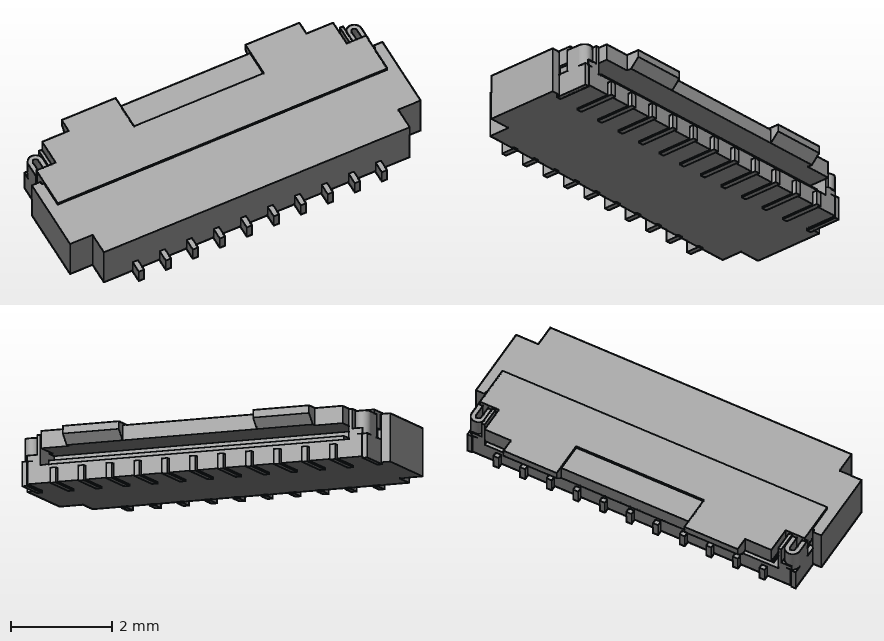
import cadquery as cq

length = 7.8
total_depth = 3.55
total_height = 1.05

standoff = 0.03
housing_top = 1.01
housing_front = 0.445
ear_front = 1.15
ear_rear = 2.79
housing_rear = 3.28
rear_half = 3.4
front_half = 3.59
ledge_top = 0.49
wall_inner = 3.315
wall_outer = 3.385
pad_top = 0.61
post_front = 1.0
opening_floor = 0.4
step_front = 0.53
step_half = 3.17
back_step_front = 0.89

flap_bottom = 0.7
flap_rear = 1.81
flap_half = 3.665
bevel = 0.195
front_tab_half = 2.645
shoulder_front = 0.305
shoulder_half = 3.24
notch_rear = 0.89
finger_half = 1.44
finger_rear = 0.795

sheet = 0.1
nail_outer = 3.705
nail_inner = nail_outer - sheet
fold_front = 0.46
nail_bend_radius = (nail_outer - wall_outer) / 2
nail_top = 0.96
nail_rear = 1.21
leg_rear = 0.935

contact_pitch = 0.6
contact_width = 0.12
contact_height = 0.305
front_contacts = 11
rear_contacts = 10
front_contact_start = 0.34
front_contact_end = 1.255
rear_contact_start = 3.24


def block(x0, x1, y0, y1, z0, z1):
    """Box between the given limits on each axis."""
    return cq.Workplane("XY").box(x1 - x0, y1 - y0, z1 - z0, centered=False).translate((x0, y0, z0))


def centred_block(x0, x1, half, z0, z1):
    """Box reaching the same distance to both sides of Y = 0."""
    return block(x0, x1, -half, half, z0, z1)


def mirrored_pair(shape):
    """The shape together with its mirror image across Y = 0."""
    return shape.union(shape.mirror("XZ"))


def make_hold_down():
    """Upright plate whose top is folded inward into a U, at the +Y end."""
    plate = block(housing_front, nail_rear, nail_inner, nail_outer, 0, ledge_top)

    bend_x = fold_front + nail_bend_radius
    inner_radius = nail_bend_radius - sheet
    middle = nail_outer - nail_bend_radius
    fold = (
        cq.Workplane("XY", origin=(0, 0, ledge_top))
        .moveTo(leg_rear, nail_outer)
        .lineTo(bend_x, nail_outer)
        .threePointArc((fold_front, middle), (bend_x, wall_outer))
        .lineTo(leg_rear, wall_outer)
        .lineTo(leg_rear, wall_outer + sheet)
        .lineTo(bend_x, wall_outer + sheet)
        .threePointArc((bend_x - inner_radius, middle), (bend_x, nail_inner))
        .lineTo(leg_rear, nail_inner)
        .close()
        .extrude(nail_top - ledge_top)
    )
    return plate.union(fold)


def make_shell():
    """Main block, front base, end walls with pads and posts, and the stepped opening floor."""
    ears = centred_block(ear_front, ear_rear, length / 2, standoff, housing_top)
    rear = centred_block(ear_front, housing_rear, rear_half, standoff, housing_top)
    base = centred_block(housing_front, ear_front, front_half, standoff, opening_floor)
    ledge = block(housing_front, ear_front, wall_inner, front_half, opening_floor, ledge_top)
    wall = block(housing_front, ear_front, wall_inner, wall_outer, ledge_top, housing_top)
    pad = block(housing_front, post_front, wall_outer, nail_inner, ledge_top, pad_top)
    post = block(post_front, ear_front, wall_outer, nail_inner, ledge_top, flap_bottom)
    step = centred_block(step_front, ear_front, step_half, opening_floor, ledge_top)
    back_step = centred_block(back_step_front, ear_front, wall_inner, opening_floor, ledge_top)
    slot = block(ear_front, nail_rear, nail_inner, nail_outer, standoff, housing_top)

    shell = ears.union(rear).cut(mirrored_pair(slot))
    ends = mirrored_pair(ledge.union(wall).union(pad).union(post))
    return shell.union(base).union(ends).union(step.union(back_step))


def make_flap():
    """Closed flap lying on the block, with a stepped front edge."""
    profile = [
        (0, total_height),
        (flap_rear, total_height),
        (flap_rear, flap_bottom),
        (bevel, flap_bottom),
        (0, flap_bottom + bevel),
    ]
    flap = cq.Workplane("XZ").polyline(profile).close().extrude(flap_half, both=True)
    shoulder = block(0, shoulder_front, front_tab_half, flap_half, flap_bottom, total_height)
    notch = block(0, notch_rear, shoulder_half, flap_half, flap_bottom, total_height)
    finger_gap = centred_block(0, bevel, finger_half, flap_bottom, total_height)
    finger_recess = centred_block(bevel, finger_rear, finger_half, housing_top, total_height)
    return flap.cut(mirrored_pair(shoulder.union(notch))).cut(finger_gap).cut(finger_recess)


def add_contacts(shell, count, x0, x1):
    """Join a centred row of contact tails to the housing."""
    for i in range(count):
        y = (i - (count - 1) / 2) * contact_pitch
        tail = block(x0, x1, y - contact_width / 2, y + contact_width / 2, 0, contact_height)
        shell = shell.union(tail)
    return shell


hold_downs = []
for flipped in (False, True):
    hold_down = make_hold_down()
    if flipped:
        hold_down = hold_down.mirror("XZ")
    hold_downs.append(hold_down)

housing = make_shell().union(make_flap())
housing = add_contacts(housing, front_contacts, front_contact_start, front_contact_end)
housing = add_contacts(housing, rear_contacts, rear_contact_start, total_depth)
for hold_down in hold_downs:
    housing = housing.cut(hold_down)

result = cq.Compound.makeCompound([housing.val(), *[hold_down.val() for hold_down in hold_downs]])